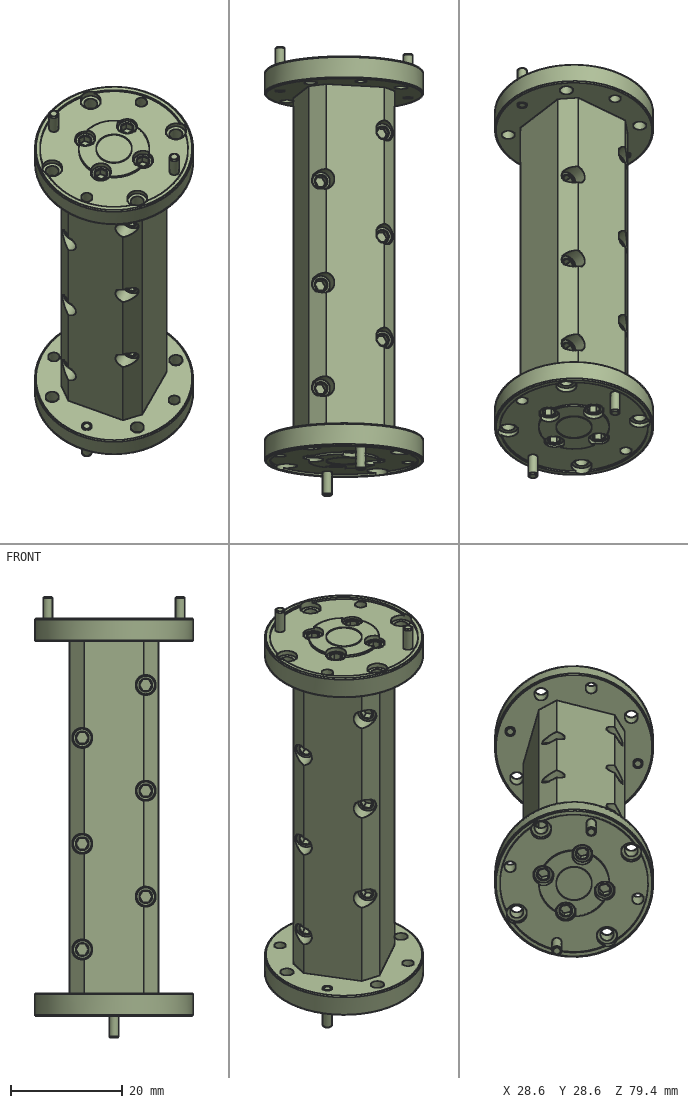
import cadquery as cq

total_height = 79.4
flange_diameter = 28.6
flange_thickness = 4.1
flange_edge_chamfer = 0.2

recess_diameter = 26.7
recess_depth = 0.4
land_diameter = 12.7
centre_recess_diameter = 6.4
centre_recess_depth = 0.15

body_width = 16.0
body_chamfer = 2.6

pin_diameter = 1.75
pin_projection = 3.9
pin_chamfer = 0.2
pin_hole_diameter = 2.1
pattern_radius = 11.9

clearance_diameter = 2.4
counterbore_diameter = 3.65
counterbore_depth = 1.3

bore_diameter = 3.65
head_diameter = 3.25
head_height = 2.15
socket_corner_diameter = 2.3
socket_depth = 1.6
socket_rim_diameter = 2.4
socket_rim_depth = 0.1
screw_offset = 5.7
end_head_depth = 0.7
side_head_depth = 2.4
side_screw_pitch = 19.05

outer_face = total_height / 2 - pin_projection
inner_face = outer_face - flange_thickness


def cylinder(diameter, height, x=0, y=0, z=0):
    """Upright cylinder whose base centre is at (x, y, z)."""
    return cq.Workplane("XY", origin=(x, y, z)).circle(diameter / 2).extrude(height)


def screw_bore(head_depth):
    """Bore that opens upward at the origin, shaped to leave the screw head standing on its floor."""
    bore = cylinder(bore_diameter, -head_depth - head_height)
    head = cylinder(head_diameter, -head_height, z=-head_depth)
    socket = cq.Workplane("XY", origin=(0, 0, -head_depth))
    rim = socket.circle(socket_rim_diameter / 2).extrude(-socket_rim_depth)
    hexagon = socket.polygon(6, socket_corner_diameter).extrude(-socket_depth)
    return bore.cut(head.cut(hexagon).cut(rim))


def upper_flange():
    """Flange at the +Z end, with its pins along X and the holes for the mating pins along Y."""
    flange = cylinder(flange_diameter, flange_thickness, z=inner_face)
    flange = flange.faces("<Z or >Z").chamfer(flange_edge_chamfer)
    recess = cylinder(recess_diameter, -recess_depth, z=outer_face)
    flange = flange.cut(recess.cut(cylinder(land_diameter, -recess_depth, z=outer_face)))
    flange = flange.cut(cylinder(centre_recess_diameter, -centre_recess_depth, z=outer_face))

    diagonal = pattern_radius / 2**0.5
    for x in (-diagonal, diagonal):
        for y in (-diagonal, diagonal):
            flange = flange.cut(cylinder(counterbore_diameter, -counterbore_depth, x, y, outer_face))
            flange = flange.cut(cylinder(clearance_diameter, -flange_thickness, x, y, outer_face))

    pin_length = flange_thickness + pin_projection
    for side in (-pattern_radius, pattern_radius):
        pin = cylinder(pin_diameter, pin_length, side, 0, inner_face)
        pin = pin.faces("<Z or >Z").chamfer(pin_chamfer)
        pin_seat = cylinder(pin_diameter, flange_thickness, side, 0, inner_face)
        flange = flange.cut(pin_seat).union(pin)
        flange = flange.cut(cylinder(pin_hole_diameter, flange_thickness, 0, side, inner_face))
    return flange


def end_screw_bores():
    """Four bores in a cross around the axis, sunk from the outer face at the +Z end."""
    bore = screw_bore(end_head_depth)
    bores = cq.Workplane("XY")
    for x, y in ((-screw_offset, 0), (screw_offset, 0), (0, -screw_offset), (0, screw_offset)):
        bores = bores.union(bore.translate((x, y, outer_face)))
    return bores


def side_screw_bores():
    """Two staggered rows of three bores, sunk from the -Y side of the body."""
    bore = screw_bore(side_head_depth).rotate((0, 0, 0), (1, 0, 0), 90)
    stagger = side_screw_pitch / 4
    bores = cq.Workplane("XY")
    for row in (-1, 0, 1):
        for side in (-1, 1):
            z = row * side_screw_pitch + side * stagger
            bores = bores.union(bore.translate((side * screw_offset, -body_width / 2, z)))
    return bores


def to_lower_end(shape):
    """Turn an upper-end shape upside down and a quarter turn, so its pins lie along Y."""
    return shape.rotate((0, 0, 0), (1, 0, 0), 180).rotate((0, 0, 0), (0, 0, 1), 90)


def to_back(shape):
    """Turn a -Y side shape half a turn about the part's axis."""
    return shape.rotate((0, 0, 0), (0, 0, 1), 180)


body = cq.Workplane("XY").box(body_width, body_width, 2 * inner_face)
body = body.edges("|Z").chamfer(body_chamfer)

result = body.union(upper_flange()).union(to_lower_end(upper_flange()))
result = result.cut(end_screw_bores()).cut(to_lower_end(end_screw_bores()))
result = result.cut(side_screw_bores()).cut(to_back(side_screw_bores()))